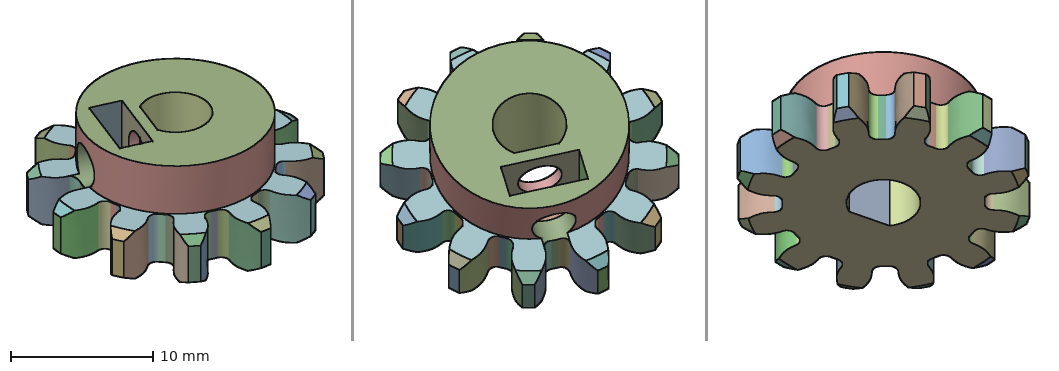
import cadquery as cq
import math

outside_diameter = 21.0
tooth_count = 12
pressure_angle = math.radians(20)
dedendum_ratio = 1.25
tooth_thinning = 0.05
module = outside_diameter / (tooth_count + 2)
tip_radius = outside_diameter / 2
pitch_radius = module * tooth_count / 2
base_radius = pitch_radius * math.cos(pressure_angle)
root_radius = pitch_radius - dedendum_ratio * module
root_fillet = 0.63

total_height = 8.0
gear_height = total_height / 2

bevel_angle = math.radians(30)
bevel_width = 0.85
bevel_height = bevel_width * math.tan(bevel_angle)

hub_diameter = 14.0
bore_diameter = 5.2
flat_distance = 2.04

screw_diameter = 3.2
screw_height = 5.3
pocket_length = 5.7
pocket_width = 2.5
pocket_distance = 4.15
pocket_depth = 5.5

tooth_pitch_angle = 2 * math.pi / tooth_count
clamp_turn = -math.degrees(tooth_pitch_angle) / 2


def polar(radius, angle):
    return (radius * math.cos(angle), radius * math.sin(angle))


def involute(angle):
    return math.tan(angle) - angle


def half_tooth_angle(radius):
    """Half of the angle that a tooth spans: involute outside the base circle, radial inside it."""
    local_pressure_angle = math.acos(min(base_radius / radius, 1))
    pitch_half = tooth_pitch_angle / 4 - tooth_thinning / 2 / pitch_radius
    return pitch_half + involute(pressure_angle) - involute(local_pressure_angle)


def gear_outline():
    """Smooth flanks, involute above radial, that a fillet joins to the root circle."""
    base_half = half_tooth_angle(base_radius)
    tip_half = half_tooth_angle(tip_radius)
    fillet_center_radius = root_radius + root_fillet
    fillet_span = math.asin(root_fillet / fillet_center_radius)
    fillet_top_radius = math.sqrt(fillet_center_radius**2 - root_fillet**2)
    foot_half = base_half + fillet_span

    flank_steps = 6
    radius_step = (tip_radius - base_radius) / flank_steps
    involute_radii = [base_radius + i * radius_step for i in range(flank_steps)]
    flank_radii = [fillet_top_radius] + involute_radii + [tip_radius]

    def fillet_middle(tooth_angle, side):
        center_x, center_y = polar(fillet_center_radius, tooth_angle + side * foot_half)
        root_direction = tooth_angle + side * foot_half + math.pi
        half_turn = side * (math.pi / 2 - fillet_span) / 2
        middle_x, middle_y = polar(root_fillet, root_direction + half_turn)
        return (center_x + middle_x, center_y + middle_y)

    outline = cq.Workplane("XY").moveTo(*polar(root_radius, -foot_half))
    for i in range(tooth_count):
        middle = i * tooth_pitch_angle
        rising = [polar(r, middle - half_tooth_angle(r)) for r in flank_radii]
        falling = [polar(r, middle + half_tooth_angle(r)) for r in reversed(flank_radii)]
        outline = (
            outline
            .threePointArc(fillet_middle(middle, -1), rising[0])
            .spline(rising[1:], includeCurrent=True)
            .threePointArc(polar(tip_radius, middle), polar(tip_radius, middle + tip_half))
            .spline(falling[1:], includeCurrent=True)
            .threePointArc(fillet_middle(middle, 1), polar(root_radius, middle + foot_half))
        )
        gap_middle = middle + tooth_pitch_angle / 2
        next_foot = middle + tooth_pitch_angle - foot_half
        outline = outline.threePointArc(polar(root_radius, gap_middle), polar(root_radius, next_foot))
    return outline.close()


def bevelled_blank():
    """Disc with conical bevels that trims the tooth tips."""
    return (
        cq.Workplane("XZ")
        .lineTo(tip_radius - bevel_width, 0)
        .lineTo(tip_radius, bevel_height)
        .lineTo(tip_radius, gear_height - bevel_height)
        .lineTo(tip_radius - bevel_width, gear_height)
        .lineTo(0, gear_height)
        .close()
        .revolve(360, (0, 0, 0), (0, 1, 0))
    )


def d_bore():
    round_bore = cq.Workplane("XY").circle(bore_diameter / 2).extrude(total_height)
    kept_side = (
        cq.Workplane("XY")
        .center(0, -flat_distance)
        .rect(bore_diameter, 2 * bore_diameter, centered=(True, False))
        .extrude(total_height)
    )
    return round_bore.intersect(kept_side)


def screw_hole():
    """Radial hole from the bore axis outward along -Y, past the tooth tips."""
    return (
        cq.Workplane("XZ")
        .center(0, screw_height)
        .circle(screw_diameter / 2)
        .extrude(tip_radius)
    )


def nut_pocket():
    return (
        cq.Workplane("XY", origin=(0, -pocket_distance, total_height))
        .rect(pocket_length, pocket_width)
        .extrude(-pocket_depth)
    )


gear = gear_outline().extrude(gear_height).intersect(bevelled_blank())
hub = cq.Workplane("XY").circle(hub_diameter / 2).extrude(total_height)
clamp_cut = d_bore().union(screw_hole()).union(nut_pocket())
clamp_cut = clamp_cut.rotate((0, 0, 0), (0, 0, 1), clamp_turn)
result = gear.union(hub).cut(clamp_cut)